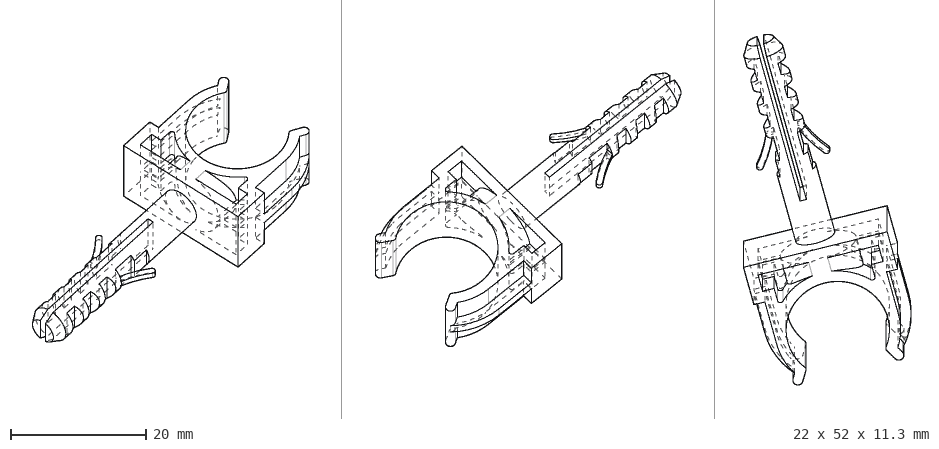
import cadquery as cq
import math


clip_width = 22.0
clip_height = 20.0
clip_depth = 11.3
base_height = 6.1
bore_radius = 7.65
bore_center_y = 13.1
arm_wall = 1.65
arm_radius = bore_radius + arm_wall

lip_thickness = 1.5
lip_radius = lip_thickness / 2
lip_angle = math.radians(60)
lip_tip_y = clip_height - lip_radius
lip_root_fillet = 0.5

rib_depth = 2.0
rib_radius = clip_width / 2
rib_center_y = 12.55

lip_tip_x = math.sqrt((rib_radius - lip_radius) ** 2 - (lip_tip_y - rib_center_y) ** 2)

pocket_inner_x = 1.45
pocket_outer_x = 9.2
pocket_step_x = 7.45
pocket_floor_y = 1.7
pocket_step_y = 4.35
pocket_fillet = 0.4
web_thickness = 1.0
barrel_radius = math.hypot(pocket_inner_x, clip_depth / 2)

plug_length = 32.0
plug_radius = 6.0 / 2
tip_length = 1.7
tip_radius = 2.05
slot_width = 1.0
slot_start = 7.0

shallow_flat_x = 2.5
shallow_start = 10.95
deep_flat_x = 1.8
deep_start = 13.8
first_tooth = 17.35
tooth_pitch = 3.75
tooth_count = 4
tooth_crest = 1.3
tooth_slope = 0.7

barb_thickness = 1.0
barb_depth = 1.0
barb_tip_x = 5.1
barb_tip_y = -12.85
barb_curve_radius = 16.65
barb_root_angle = math.radians(20)
barb_tip_angle = math.radians(39.5)


def mirrored(shape):
    """Join a +X side feature with its copy on the -X side."""
    return shape.union(shape.mirror("YZ"))


def extrude_centered(sketch, depth):
    return sketch.extrude(depth / 2, both=True)


def polar(center, radius, angle):
    return (center[0] + radius * math.cos(angle), center[1] + radius * math.sin(angle))


def angle_about(center, point):
    return math.atan2(point[1] - center[1], point[0] - center[0])


def arc_middle(center, radius, start, end):
    """Point halfway along the arc between two points of a circle."""
    return polar(center, radius, (angle_about(center, start) + angle_about(center, end)) / 2)


def lip_line_meets(point, radius):
    """Follow the lip direction down from a point to a circle around the bore center."""
    dx = point[0]
    dy = point[1] - bore_center_y
    along = dx * math.cos(lip_angle) + dy * math.sin(lip_angle)
    step = -along + math.sqrt(along**2 - dx**2 - dy**2 + radius**2)
    return polar(point, step, lip_angle)


bore_center = (0, bore_center_y)
lip_tip = (lip_tip_x, lip_tip_y)
half_width = clip_width / 2


def make_body():
    """Base, arms and lips, with the bore open at the top."""
    lip_outer = polar(lip_tip, lip_radius, lip_angle - math.pi / 2)
    lip_end = polar(lip_tip, lip_radius, lip_angle)
    lip_inner = polar(lip_tip, lip_radius, lip_angle + math.pi / 2)
    outer_root = lip_line_meets(lip_outer, arm_radius)
    inner_root = lip_line_meets(lip_inner, bore_radius)
    arm_start = (arm_radius, bore_center_y)
    outline = (
        cq.Workplane("XY")
        .lineTo(half_width, 0)
        .lineTo(half_width, base_height)
        .lineTo(arm_radius, base_height)
        .lineTo(*arm_start)
        .threePointArc(arc_middle(bore_center, arm_radius, arm_start, outer_root), outer_root)
        .lineTo(*lip_outer)
        .threePointArc(lip_end, lip_inner)
        .lineTo(*inner_root)
        .lineTo(*bore_center)
        .close()
    )
    bore = extrude_centered(cq.Workplane("XY").center(*bore_center).circle(bore_radius), clip_depth)
    body = mirrored(extrude_centered(outline, clip_depth)).cut(bore)
    for side in (-1, 1):
        root_edge = cq.NearestToPointSelector((side * inner_root[0], inner_root[1], 0))
        body = body.edges(root_edge).fillet(lip_root_fillet)
    return body


def make_ribs():
    """Central ribs that carry the full clip width up to the lip tips."""
    rib_center = (0, rib_center_y)
    rib_start = (half_width, rib_center_y)
    rib_end = polar(rib_center, rib_radius, angle_about(rib_center, lip_tip))
    arm_middle_x = bore_radius + arm_wall / 2
    outline = (
        cq.Workplane("XY")
        .moveTo(arm_middle_x, base_height)
        .lineTo(half_width, base_height)
        .lineTo(*rib_start)
        .threePointArc(arc_middle(rib_center, rib_radius, rib_start, rib_end), rib_end)
        .lineTo(*lip_tip)
        .lineTo(arm_middle_x, bore_center_y)
        .close()
    )
    return mirrored(extrude_centered(outline, rib_depth))


def make_pockets():
    """Stepped pockets that follow the bore wall, around a barrel-shaped center and a web."""
    pocket = extrude_centered(
        cq.Workplane("XY")
        .moveTo(pocket_inner_x, pocket_floor_y)
        .lineTo(pocket_outer_x, pocket_floor_y)
        .lineTo(pocket_outer_x, pocket_step_y)
        .lineTo(pocket_step_x, pocket_step_y)
        .lineTo(pocket_step_x, bore_center_y)
        .lineTo(pocket_inner_x, bore_center_y)
        .close(),
        clip_depth,
    )
    bore_wall = extrude_centered(cq.Workplane("XY").center(*bore_center).circle(arm_radius), clip_depth)
    web = cq.Workplane("XY").box(clip_width, clip_height, web_thickness)
    barrel = cq.Workplane("XZ").circle(barrel_radius).extrude(clip_height, both=True)
    pocket = pocket.cut(bore_wall)
    pocket = pocket.edges("|Z and >Y").fillet(pocket_fillet)
    return mirrored(pocket.cut(web).cut(barrel))


def make_shank():
    """Round shank with a cone tip, split along its length."""
    shank = (
        cq.Workplane("XY")
        .lineTo(plug_radius, 0)
        .lineTo(plug_radius, tip_length - plug_length)
        .lineTo(tip_radius, -plug_length)
        .lineTo(0, -plug_length)
        .close()
        .revolve(360, (0, 0, 0), (0, 1, 0))
    )
    slot_length = plug_length - slot_start
    slot = cq.Workplane("XY").box(slot_width, slot_length, 2 * plug_radius)
    return shank.cut(slot.translate((0, -slot_start - slot_length / 2, 0)))


def side_notch(points):
    return mirrored(extrude_centered(cq.Workplane("XY").polyline(points).close(), 2 * plug_radius))


def cut_notches(shank):
    """Stepped relief beside the barbs, then saw-tooth gaps down to the tip."""
    relief = [
        (plug_radius, -shallow_start),
        (shallow_flat_x, -shallow_start),
        (shallow_flat_x, -deep_start),
        (deep_flat_x, -deep_start),
        (deep_flat_x, -first_tooth),
        (plug_radius, -first_tooth),
    ]
    shank = shank.cut(side_notch(relief))
    for index in range(tooth_count - 1):
        crest_y = -first_tooth - index * tooth_pitch - tooth_crest
        next_tooth_y = -first_tooth - (index + 1) * tooth_pitch
        gap = [
            (plug_radius, crest_y),
            (deep_flat_x, crest_y - tooth_slope),
            (deep_flat_x, next_tooth_y),
            (plug_radius, next_tooth_y),
        ]
        shank = shank.cut(side_notch(gap))
    return shank


def make_barbs():
    """Curved fingers of constant thickness with fully rounded tips."""
    root = math.pi - barb_root_angle
    tip = math.pi - barb_tip_angle
    middle = (root + tip) / 2
    center = polar((barb_tip_x, barb_tip_y), -barb_curve_radius, tip)
    outer = barb_curve_radius - barb_thickness / 2
    inner = barb_curve_radius + barb_thickness / 2
    barb_end = polar((barb_tip_x, barb_tip_y), barb_thickness / 2, tip - math.pi / 2)
    outline = (
        cq.Workplane("XY")
        .moveTo(*polar(center, outer, root))
        .threePointArc(polar(center, outer, middle), polar(center, outer, tip))
        .threePointArc(barb_end, polar(center, inner, tip))
        .threePointArc(polar(center, inner, middle), polar(center, inner, root))
        .close()
    )
    return mirrored(extrude_centered(outline, barb_depth))


clip = make_body().union(make_ribs()).cut(make_pockets())
plug = cut_notches(make_shank()).union(make_barbs())
result = clip.union(plug)